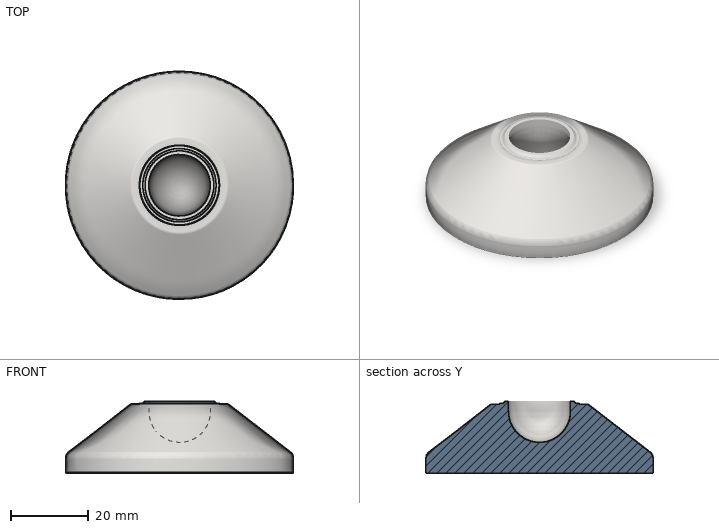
import cadquery as cq

base_radius = 29.5
flange_height = 18.0
shoulder_height = 4.9
crown_radius = 12.5
foot_chamfer = 0.3
shoulder_rounding = 2.05
crown_rounding = 0.8

collar_radius = 10.4
collar_height = 18.2
collar_chamfer = 0.1
lip_foot_radius = 9.5
lip_top_radius = 8.9
total_height = 18.7

socket_radius = 7.95
straight_depth = 2.65
rim_height = total_height - straight_depth


def revolve_about_z(profile):
    """Close a half profile drawn in radius and height, and spin it about Z."""
    return profile.close().revolve(360, (0, 0), (0, 1))


def edge_at_height(height):
    """Pick the circular edge that is centred on the axis at this height."""
    return cq.selectors.NearestToPointSelector((0, 0, height))


def make_body():
    """Disc with a conical top, its three outer corners broken."""
    body = revolve_about_z(
        cq.Workplane("XZ")
        .lineTo(base_radius, 0)
        .lineTo(base_radius, shoulder_height)
        .lineTo(crown_radius, flange_height)
        .lineTo(0, flange_height)
    )
    body = body.edges(edge_at_height(shoulder_height)).fillet(shoulder_rounding)
    body = body.faces(">Z").edges().fillet(crown_rounding)
    return body.faces("<Z").edges().chamfer(foot_chamfer)


def make_collar():
    """Low chamfered step carrying the tapered lip; it runs down through the body."""
    return revolve_about_z(
        cq.Workplane("XZ")
        .lineTo(collar_radius, 0)
        .lineTo(collar_radius, collar_height - collar_chamfer)
        .lineTo(collar_radius - collar_chamfer, collar_height)
        .lineTo(lip_foot_radius, collar_height)
        .lineTo(lip_top_radius, total_height)
        .lineTo(0, total_height)
    )


def make_socket():
    """Straight mouth that runs tangent into a hemisphere."""
    return revolve_about_z(
        cq.Workplane("XZ")
        .moveTo(0, total_height)
        .lineTo(socket_radius, total_height)
        .lineTo(socket_radius, rim_height)
        .radiusArc((0, rim_height - socket_radius), socket_radius)
    )


result = make_body().union(make_collar()).cut(make_socket())